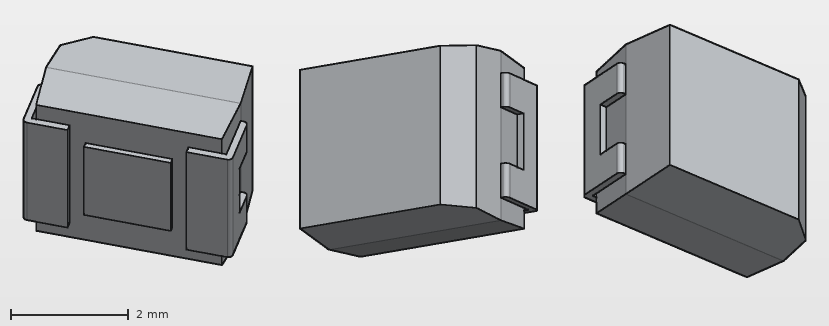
import cadquery as cq
import math

overall_length = 3.7
overall_depth = 2.11
overall_height = 3.0

terminal_thickness = 0.13
terminal_height = 2.2
terminal_foot_length = 0.8
terminal_bend_radius = 0.08
notch_height = 1.0
notch_depth = 0.533

draft_angle = 5.0
upper_depth = 1.08
bevel_length = 0.535
bevel_depth = 0.4

pad_size = 1.535
pad_bottom_inset = 0.025

housing_length = overall_length - 2 * terminal_thickness
bottom_y = -overall_depth / 2
top_y = overall_depth / 2
parting_y = top_y - upper_depth
housing_bottom_y = bottom_y + terminal_thickness


def drafted_half(end_y):
    """Housing half that tapers from the parting plane to end_y."""
    depth = abs(end_y - parting_y)
    inset = 2 * depth * math.tan(math.radians(draft_angle))
    return (
        cq.Workplane("XZ", origin=(0, parting_y, 0))
        .rect(housing_length, overall_height)
        .workplane(offset=parting_y - end_y)
        .rect(housing_length - inset, overall_height - inset)
        .loft(ruled=True, combine=True)
    )


def polarity_bevel():
    """Wedge that removes the upper -X edge of the housing."""
    left_x = -housing_length / 2
    wall_inset = (upper_depth - bevel_depth) * math.tan(math.radians(draft_angle))
    bevel_base = (left_x + wall_inset, top_y - bevel_depth)
    return (
        cq.Workplane("XY")
        .polyline([bevel_base, (left_x + bevel_length, top_y), (left_x, top_y), (left_x, bevel_base[1])])
        .close()
        .extrude(overall_height / 2, both=True)
    )


def make_terminal(side):
    """L-shaped terminal; side is -1 for the -X end and +1 for the +X end."""
    outer_x = side * overall_length / 2
    inner_x = side * housing_length / 2
    foot_end_x = outer_x - side * terminal_foot_length
    terminal = (
        cq.Workplane("XY")
        .polyline([
            (outer_x, parting_y),
            (outer_x, bottom_y),
            (foot_end_x, bottom_y),
            (foot_end_x, housing_bottom_y),
            (inner_x, housing_bottom_y),
            (inner_x, parting_y),
        ])
        .close()
        .extrude(terminal_height / 2, both=True)
    )
    outer_face = "<X" if side < 0 else ">X"
    terminal = terminal.faces(outer_face).edges("|Z").fillet(terminal_bend_radius)

    notch = cq.Workplane("XY").box(2 * terminal_thickness, 2 * notch_depth, notch_height)
    return terminal.cut(notch.translate((outer_x, parting_y, 0)))


def make_pad():
    """Square pad on the mounting side of the housing."""
    return (
        cq.Workplane("XZ", origin=(0, housing_bottom_y, 0))
        .rect(pad_size, pad_size)
        .extrude(housing_bottom_y - bottom_y - pad_bottom_inset)
    )


terminals = [make_terminal(side) for side in (-1, 1)]
pad = make_pad()

housing = drafted_half(top_y).union(drafted_half(housing_bottom_y)).cut(polarity_bevel())

result = cq.Compound.makeCompound([housing.val(), *[terminal.val() for terminal in terminals], pad.val()])